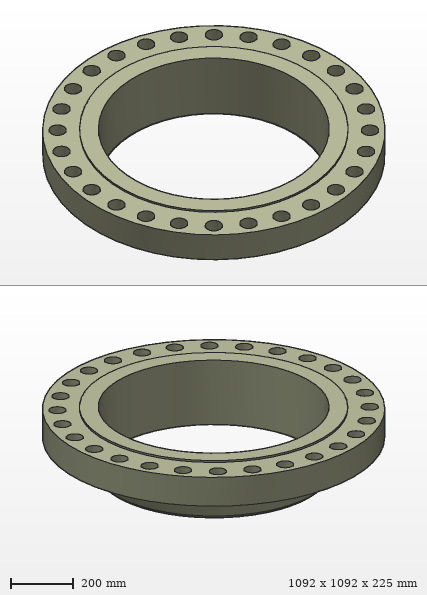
import cadquery as cq

flange_diameter = 1092.0
flange_thickness = 100.0

face_diameter = 856.0
face_height = 7.0

total_height = 225.0
hub_root_diameter = 834.0
hub_root_fillet = 16.0
hub_end_diameter = 771.0
bore_diameter = 736.0
weld_lip_diameter = 742.0
weld_bevel_height = 13.0

bolt_count = 28
bolt_circle_diameter = 996.0
bolt_hole_diameter = 55.0

face_z = total_height
flange_top_z = face_z - face_height
flange_bottom_z = flange_top_z - flange_thickness


def make_body():
    """Revolve the half section of the flange, face and hub about Z, then round the hub root."""
    bore_radius = bore_diameter / 2
    section = (
        cq.Workplane("XZ")
        .moveTo(bore_radius, 0)
        .lineTo(weld_lip_diameter / 2, 0)
        .lineTo(hub_end_diameter / 2, weld_bevel_height)
        .lineTo(hub_root_diameter / 2, flange_bottom_z)
        .lineTo(flange_diameter / 2, flange_bottom_z)
        .lineTo(flange_diameter / 2, flange_top_z)
        .lineTo(face_diameter / 2, flange_top_z)
        .lineTo(face_diameter / 2, face_z)
        .lineTo(bore_radius, face_z)
        .close()
    )
    body = section.revolve(360, (0, 0, 0), (0, 1, 0))
    hub_root_edge = cq.selectors.RadiusNthSelector(-3)
    return body.edges(hub_root_edge).fillet(hub_root_fillet)


def make_bolt_holes():
    """Cylinders through the plate, the first one on the X axis."""
    return (
        cq.Workplane("XY")
        .workplane(offset=flange_bottom_z)
        .polarArray(bolt_circle_diameter / 2, 0, 360, bolt_count)
        .circle(bolt_hole_diameter / 2)
        .extrude(flange_thickness)
    )


result = make_body().cut(make_bolt_holes())